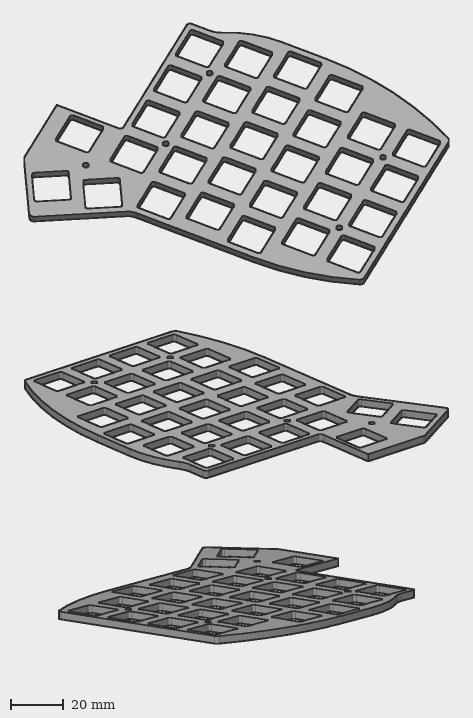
import cadquery as cq
import math

plate_length = 141.3
plate_width = 117.3
thickness = 3.0

right_x = plate_length / 2
left_x = -right_x
top_y = plate_width / 2
bottom_y = -top_y

inner_wall_x = -43.2
thumb_top_y = -6.0
shoulder_y = 51.7
shoulder_end_x = -31.7
top_flat_start_x = -7.0
top_flat_end_x = 11.3
top_curve_drop = 15.0
lower_edge_y = -40.0
lower_curve_start_x = 28.3
lower_curve_rise = 8.2
thumb_tip_x = -56.2
thumb_angle = 30.0

wall_radius = 1.4
corner_radius = 2.0
waist_radius = 7.0
shoulder_radius = 9.9

key_pitch = 95.0 / 5
opening_size = 14.0
opening_radius = 1.0
column_stagger = 3.4
middle_column_x = 4.1
middle_row_y = 11.0
right_block_y = 6.1
side_key_offset = 22.9
thumb_keys = [(-55.3, -42.3), (-36.3, -36.9)]

screw_diameter = 2.3
left_screw = (-25.3, 14.1)
right_screw = (51.6, right_block_y)
thumb_screw = (-48.0, -27.4)


def tangent_radius(run, drop):
    """Radius of an arc that leaves a straight line and falls by drop over run."""
    return (run**2 + drop**2) / (2 * drop)


def make_plate():
    slope = math.tan(math.radians(thumb_angle))
    tip_rise = math.sqrt(2) * math.sin(math.radians(45 + thumb_angle))
    tip = (thumb_tip_x, bottom_y + corner_radius * (1 - tip_rise))
    left_corner = (left_x, tip[1] + (tip[0] - left_x) / slope)
    waist = (tip[0] + (lower_edge_y - tip[1]) / slope, lower_edge_y)
    lower_right = (right_x, lower_edge_y + lower_curve_rise)
    upper_right = (right_x, top_y - top_curve_drop)
    shoulder_end = (shoulder_end_x, shoulder_y)
    shoulder_corner = (inner_wall_x, shoulder_y)
    thumb_inner_corner = (inner_wall_x, thumb_top_y)

    lower_radius = tangent_radius(right_x - lower_curve_start_x, lower_curve_rise)
    upper_radius = tangent_radius(right_x - top_flat_end_x, top_curve_drop)
    left_top_radius = tangent_radius(top_flat_start_x - shoulder_end_x, top_y - shoulder_y)

    plate = (
        cq.Workplane("XY")
        .moveTo(*waist)
        .lineTo(lower_curve_start_x, lower_edge_y)
        .radiusArc(lower_right, -lower_radius)
        .lineTo(*upper_right)
        .radiusArc((top_flat_end_x, top_y), -upper_radius)
        .lineTo(top_flat_start_x, top_y)
        .radiusArc(shoulder_end, -left_top_radius)
        .lineTo(*shoulder_corner)
        .lineTo(*thumb_inner_corner)
        .lineTo(left_x, thumb_top_y)
        .lineTo(*left_corner)
        .lineTo(*tip)
        .close()
        .extrude(thickness)
    )
    rounded_corners = [
        (waist, waist_radius),
        (shoulder_end, shoulder_radius),
        (left_corner, corner_radius),
        (tip, corner_radius),
        (lower_right, corner_radius),
        (upper_right, corner_radius),
        (shoulder_corner, wall_radius),
        (thumb_inner_corner, wall_radius),
    ]
    for (x, y), radius in rounded_corners:
        corner = cq.selectors.NearestToPointSelector((x, y, thickness / 2))
        plate = plate.edges("|Z").edges(corner).fillet(radius)
    return plate


def column_centres(x, middle_y, count):
    """Centres of a vertical column of evenly pitched keys."""
    return [(x, middle_y + (row - (count - 1) / 2) * key_pitch) for row in range(count)]


def key_openings(centres, angle=0.0):
    openings = cq.Workplane("XY")
    blank = (
        cq.Workplane("XY")
        .rect(opening_size, opening_size)
        .extrude(thickness)
        .edges("|Z")
        .fillet(opening_radius)
        .rotate((0, 0, 0), (0, 0, 1), angle)
    )
    for x, y in centres:
        openings.add(blank.translate((x, y, 0)))
    return openings.combine()


first_column_x = middle_column_x - 2 * key_pitch
first_column_y = middle_row_y - 2 * column_stagger + key_pitch / 2
first_column_keys = column_centres(first_column_x, first_column_y, 4)
upright_keys = list(first_column_keys)
upright_keys += column_centres(middle_column_x - key_pitch, middle_row_y - column_stagger, 5)
upright_keys += column_centres(middle_column_x, middle_row_y, 5)
upright_keys += column_centres(middle_column_x + key_pitch, middle_row_y - column_stagger, 5)
upright_keys += column_centres(middle_column_x + 2 * key_pitch, right_block_y, 4)
upright_keys += column_centres(middle_column_x + 3 * key_pitch, right_block_y, 4)

side_key_y = first_column_keys[0][1]
upright_keys.append((first_column_x - side_key_offset, side_key_y))

screw_centres = [thumb_screw]
for x, y in (left_screw, right_screw):
    screw_centres += [(x, y - key_pitch), (x, y + key_pitch)]
screw_holes = (
    cq.Workplane("XY")
    .pushPoints(screw_centres)
    .circle(screw_diameter / 2)
    .extrude(thickness)
)

result = (
    make_plate()
    .cut(key_openings(upright_keys))
    .cut(key_openings(thumb_keys, thumb_angle))
    .cut(screw_holes)
)